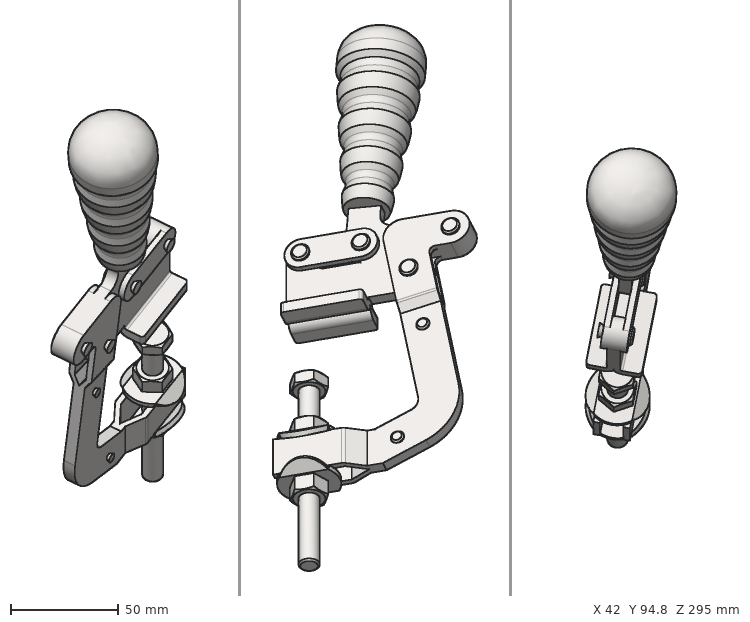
import cadquery as cq
import math


lever_thickness = 6.2
lever_half = lever_thickness / 2
sheet = lever_half
fork_half = lever_half + sheet

link_pin_z = 174.5
plate_pin = (2.5, link_pin_z)
lever_pin = (-27.0, link_pin_z)
rear_pin = (-70.8, 175.0)
plate_pivot = (-50.5, 155.5)
arm_rivets = [(-56.3, 124.5), (-44.0, 62.5)]

arm_width = 20.0
lobe_radius = 9.0
arm_top = rear_pin[1] + lobe_radius
lobe_bottom = rear_pin[1] - lobe_radius
leg_lean = math.radians(10)
leg_ref = (-43.6, 141.5)
jaw_bottom = 49.3
jaw_top = jaw_bottom + arm_width
jaw_end = 15.0
elbow_y = -32.7
elbow_slope = math.radians(23)
inner_elbow_radius = 6.0
outer_elbow_radius = 26.5
lobe_root_radius = 3.0
joggle_center = (-54.5, 136.8)
joggle_length = 5.3
splay_start = -29.2
splay_end = -19.2
splay_bend_radius = 3.5
joggle_bend_radius = 2.5
jaw_inner_half = 5.5
split_z = 88.5

link_radius = 8.0
plate_top = lobe_bottom
plate_bottom = 145.0
plate_notch_radius = 2.5
foot_bottom = 137.5
foot_thickness = 5.5
foot_half_width = 13.3
foot_back = -29.8
foot_corner = 1.8
foot_root_radius = 1.2
foot_groove_radius = 5.0

grip_base = (-28.0, 196.7)
grip_lean_degrees = 5
grip_lean = math.radians(grip_lean_degrees)
grip_length = 98.5
neck_half_width = 8.0
neck_top = 203.5
neck_root_radius = 6.2
knob_radius = 21.0
dome_height = 15.3
dome_shoulder = (16.2, 93.5)
knob_bottom = 77.0
ring_count = 4
ring_crest_height = 65.5
ring_crest_radius = 19.5
ring_pitch = 19.5
ring_radius_step = 2.5
ring_band = 8.0
ring_taper = 1.33
ring_bulge = 0.3
groove_top = (-1.0, 8.5)
groove_middle = (-1.33, 6.5)
groove_bottom = (-1.2, 4.5)

bolt_radius = 5.0
bolt_end_chamfer = 1.0
hex_flats = 16.2
hex_corner_trim = 1.8
hex_corner_drop = 1.0
bolt_head_bottom = 99.5
bolt_head_height = 6.8
nut_height = 8.3
washer_radius = jaw_end
washer_thickness = 2.7
wing_bend = 9.0
wing_angle = math.radians(40)

pivot_head = (4.5, 1.8, 2.5, 3.5, 2.5)
rivet_head = (3.2, 1.2, 1.8, 2.5, 1.8)
head_chamfer = 1.0

coincident = 0.003


def corner_points(before, corner, after, radius):
    """Start, middle and end of the arc that rounds a corner."""
    to_before = math.atan2(before[1] - corner[1], before[0] - corner[0])
    to_after = math.atan2(after[1] - corner[1], after[0] - corner[0])
    half = abs(math.remainder(to_after - to_before, math.tau)) / 2
    middle = to_before + math.remainder(to_after - to_before, math.tau) / 2

    def along(angle, distance):
        return (corner[0] + distance * math.cos(angle), corner[1] + distance * math.sin(angle))

    tangent = radius / math.tan(half)
    arc_distance = radius / math.sin(half) - radius
    return along(to_before, tangent), along(middle, arc_distance), along(to_after, tangent)


def rounded_plate(corners, half_thickness):
    """Plate centred on X = 0 from (Y, Z, corner radius) points."""
    outline = cq.Workplane("YZ")
    current = None
    for i, (y, z, radius) in enumerate(corners):
        start, middle, end = (y, z), None, (y, z)
        if radius > 0:
            following = corners[(i + 1) % len(corners)]
            start, middle, end = corner_points(corners[i - 1], (y, z), following, radius)
        if current is None:
            outline = outline.moveTo(*start)
        elif math.dist(current, start) > coincident:
            outline = outline.lineTo(*start)
        if middle is not None:
            outline = outline.threePointArc(middle, end)
        current = end
    return outline.close().extrude(half_thickness, both=True)


def leg_front(z):
    """Y of the leg's front edge at height z."""
    return leg_ref[0] + (z - leg_ref[1]) * math.tan(leg_lean)


def leg_back(z):
    """Y of the leg's back edge at height z."""
    return leg_front(z) - arm_width / math.cos(leg_lean)


def elbow_corner(start, leg_at):
    """Where the sloped stretch rising from start meets one edge of the leg."""
    slope = math.tan(elbow_slope)
    lean = math.tan(leg_lean)
    leg_y = leg_at(start[1])
    run = (start[0] - leg_y) / (1 + slope * lean)
    return (start[0] - run, start[1] + run * slope)


def make_arm():
    """Two mirrored sheets: a fork at the top, touching along the leg, splayed around the bolt."""
    inner_start = (elbow_y, jaw_top)
    outer_start = (elbow_y - arm_width * math.tan(elbow_slope / 2), jaw_bottom)
    inner_elbow = elbow_corner(inner_start, leg_front)
    outer_elbow = elbow_corner(outer_start, leg_back)
    lobe_end = rear_pin[0] - lobe_radius
    outline = rounded_plate([
        (jaw_end, jaw_top, 0),
        (*inner_start, 0),
        (*inner_elbow, inner_elbow_radius),
        (leg_front(arm_top), arm_top, lobe_radius),
        (lobe_end, arm_top, lobe_radius),
        (lobe_end, lobe_bottom, lobe_radius),
        (leg_back(lobe_bottom), lobe_bottom, lobe_root_radius),
        (*outer_elbow, outer_elbow_radius),
        (*outer_start, 0),
        (jaw_end, jaw_bottom, 0),
    ], 2 * fork_half)

    reach = arm_top
    bend = joggle_length / 2
    leg_sheet = (
        cq.Workplane("XZ")
        .polyline([(0, -reach), (sheet, -reach), (sheet, -bend), (fork_half, bend),
                   (fork_half, reach), (lever_half, reach), (lever_half, bend), (0, -bend)])
        .close()
        .extrude(reach, both=True)
        .edges(cq.selectors.NearestToPointSelector((fork_half, 0, bend)))
        .fillet(joggle_bend_radius)
        .rotate((0, 0, 0), (1, 0, 0), -math.degrees(leg_lean))
        .translate((0, *joggle_center))
    )
    jaw_outer_half = jaw_inner_half + sheet
    jaw_sheet = (
        cq.Workplane("XY")
        .polyline([(0, -reach), (sheet, -reach), (sheet, splay_start), (jaw_outer_half, splay_end),
                   (jaw_outer_half, jaw_end), (jaw_inner_half, jaw_end), (jaw_inner_half, splay_end),
                   (0, splay_start)])
        .close()
        .extrude(split_z)
        .edges(cq.selectors.NearestToPointSelector((jaw_outer_half, splay_end, split_z / 2)))
        .fillet(splay_bend_radius)
    )
    above = cq.Workplane("XY").workplane(offset=split_z).rect(2 * reach, 2 * reach).extrude(reach)
    half = outline.intersect(leg_sheet).intersect(above).union(outline.intersect(jaw_sheet))
    return half.union(half.mirror("YZ"))


def make_clamp_plate():
    """Plate hung between links and fork, with a flat foot along its lower edge."""
    front = plate_pin[0] + link_radius
    lobe_back = plate_pin[0] - link_radius
    lobe_top = link_pin_z + link_radius
    pivot_round = (plate_top - plate_bottom) / 2
    pivot_end = plate_pivot[0] - pivot_round
    plate = rounded_plate([
        (front, foot_bottom, 0),
        (front, lobe_top, link_radius),
        (lobe_back, lobe_top, link_radius),
        (lobe_back, plate_top, plate_notch_radius),
        (pivot_end, plate_top, pivot_round),
        (pivot_end, plate_bottom, pivot_round),
        (foot_back, plate_bottom, 0),
        (foot_back, foot_bottom, 0),
    ], lever_half)
    foot = (
        cq.Workplane("XY")
        .box(2 * foot_half_width, front - foot_back, foot_thickness, centered=(True, False, False))
        .translate((0, foot_back, foot_bottom))
        .edges("|Z")
        .fillet(foot_corner)
    )
    foot_top = foot_bottom + foot_thickness
    length = front - foot_back
    root_half = lever_half + foot_root_radius
    root = (
        cq.Workplane("XZ", origin=(0, front, foot_top))
        .moveTo(-root_half, 0)
        .radiusArc((-lever_half, foot_root_radius), -foot_root_radius)
        .lineTo(lever_half, foot_root_radius)
        .radiusArc((root_half, 0), -foot_root_radius)
        .close()
        .extrude(length)
    )
    groove = (
        cq.Workplane("XZ", origin=(0, front, foot_bottom))
        .moveTo(-foot_groove_radius, 0)
        .radiusArc((0, foot_groove_radius), -foot_groove_radius)
        .radiusArc((foot_groove_radius, 0), -foot_groove_radius)
        .close()
        .extrude(length)
    )
    return plate.union(foot).union(root).cut(groove)


def make_links():
    """Pair of round-ended links either side of the plate and the lever."""
    front = plate_pin[0] + link_radius
    back = lever_pin[0] - link_radius
    low = link_pin_z - link_radius
    high = link_pin_z + link_radius
    corners = [(front, low), (front, high), (back, high), (back, low)]
    rounded = [(y, z, link_radius) for y, z in corners]
    return rounded_plate(rounded, fork_half).cut(rounded_plate(rounded, lever_half))


def make_lever():
    """Flat lever: neck leaning with the grip, tail sharing the arm's rear lobe."""
    def axis_y(z):
        """Y of the grip axis at height z."""
        return grip_base[0] - (z - grip_base[1]) * math.tan(grip_lean)

    lobe_end = rear_pin[0] - lobe_radius
    return rounded_plate([
        (axis_y(neck_top) + neck_half_width, neck_top, 0),
        (axis_y(lobe_bottom) + neck_half_width, lobe_bottom, link_radius),
        (lobe_end, lobe_bottom, lobe_radius),
        (lobe_end, arm_top, lobe_radius),
        (axis_y(arm_top) - neck_half_width, arm_top, neck_root_radius),
        (axis_y(neck_top) - neck_half_width, neck_top, 0),
    ], lever_half)


def make_grip():
    """Turned grip: domed knob above rings that shrink toward the base."""
    profile = (
        cq.Workplane("XZ")
        .moveTo(0, grip_length)
        .spline([dome_shoulder, (knob_radius, grip_length - dome_height)],
                tangents=[(1, 0), (0, -1)], includeCurrent=True)
        .lineTo(knob_radius, knob_bottom)
    )
    for i in range(ring_count):
        crest = ring_crest_radius - i * ring_radius_step
        height = ring_crest_height - i * ring_pitch
        band_bottom = max(height - ring_band, 0)
        groove = [(crest + dr, height + dh) for dr, dh in (groove_top, groove_middle, groove_bottom)]
        profile = (
            profile
            .lineTo(*groove[0])
            .threePointArc(groove[1], groove[2])
            .lineTo(crest, height)
            .threePointArc((crest - ring_taper / 2 + ring_bulge, (height + band_bottom) / 2),
                           (crest - ring_taper, band_bottom))
        )
    grip = profile.lineTo(0, 0).close().revolve(360, (0, 0, 0), (0, 1, 0))
    return grip.rotate((0, 0, 0), (1, 0, 0), grip_lean_degrees).translate((0, *grip_base))


def make_hex(bottom, height, low_end_turned, high_end_turned):
    """Hexagon with corners on the Y axis, the corners turned off at the chosen ends."""
    corner_radius = hex_flats / 2 / math.cos(math.pi / 6)
    low = 0 if low_end_turned else -hex_corner_drop
    high = height if high_end_turned else height + hex_corner_drop
    end_radius = corner_radius - hex_corner_trim
    prism = cq.Workplane("XY").polygon(6, 2 * corner_radius).extrude(height).rotate((0, 0, 0), (0, 0, 1), 90)
    turned = (
        cq.Workplane("XZ")
        .polyline([(0, low), (end_radius, low), (corner_radius, low + hex_corner_drop),
                   (corner_radius, high - hex_corner_drop), (end_radius, high), (0, high)])
        .close()
        .revolve(360, (0, 0, 0), (0, 1, 0))
    )
    return prism.intersect(turned).translate((0, 0, bottom))


def make_wing_washer():
    """Washer lying on Z = 0 with two sides bent down, its rim round when seen along Z."""
    bend_low = wing_bend - washer_thickness * math.tan(wing_angle / 2)
    slope = math.tan(wing_angle)
    flat = (
        cq.Workplane("XZ")
        .polyline([(-wing_bend, washer_thickness), (wing_bend, washer_thickness),
                   (bend_low, 0), (-bend_low, 0)])
        .close()
        .extrude(washer_radius, both=True)
        .intersect(cq.Workplane("XY").circle(washer_radius).extrude(washer_thickness))
    )
    wing_end = 2 * washer_radius
    thickness_drop = washer_thickness / math.cos(wing_angle)
    end_z = washer_thickness - (wing_end - wing_bend) * slope
    rim = (
        cq.Workplane("XY")
        .ellipse(washer_radius / math.cos(wing_angle), washer_radius)
        .extrude(wing_end, both=True)
        .rotate((0, 0, 0), (0, 1, 0), math.degrees(wing_angle))
        .translate((0, 0, washer_thickness + wing_bend * slope))
    )
    wing = (
        cq.Workplane("XZ")
        .polyline([(wing_bend, washer_thickness), (wing_end, end_z), (wing_end, end_z - thickness_drop),
                   (bend_low, 0)])
        .close()
        .extrude(washer_radius, both=True)
        .intersect(rim)
    )
    return flat.union(wing).union(wing.mirror("YZ"))


def make_bolt():
    """Hex bolt with two nuts clamping the wing washers onto the jaw."""
    shank = cq.Workplane("XY").circle(bolt_radius).extrude(bolt_head_bottom)
    shank = shank.faces("<Z").chamfer(bolt_end_chamfer)
    washer = make_wing_washer()
    upper_nut_bottom = jaw_top + washer_thickness
    lower_nut_bottom = jaw_bottom - washer_thickness - nut_height
    return (
        shank
        .union(make_hex(bolt_head_bottom, bolt_head_height, True, True))
        .union(make_hex(upper_nut_bottom, nut_height, False, True))
        .union(make_hex(lower_nut_bottom, nut_height, True, False))
        .union(washer.translate((0, 0, jaw_top)))
        .union(washer.mirror("XY").translate((0, 0, jaw_bottom)))
    )


def make_pin(position, stack_half, head):
    """Pin along X with a chamfered head on the -X side and a flared end on the +X side."""
    head_radius, head_height, shank_radius, flare_radius, flare_height = head
    head_end = -stack_half - head_height
    profile = [
        (head_end, 0),
        (head_end, head_radius - head_chamfer),
        (head_end + head_chamfer, head_radius),
        (-stack_half, head_radius),
        (-stack_half, shank_radius),
        (stack_half, shank_radius),
        (stack_half + flare_height, flare_radius),
        (stack_half + flare_height, 0),
    ]
    pin = cq.Workplane("XY").polyline(profile).close().revolve(360, (0, 0, 0), (1, 0, 0))
    return pin.translate((0, *position))


result = make_arm()
for component in [make_clamp_plate(), make_links(), make_lever(), make_grip(), make_bolt()]:
    result = result.union(component)
for pivot in [plate_pin, lever_pin, rear_pin, plate_pivot]:
    result = result.union(make_pin(pivot, fork_half, pivot_head))
for rivet in arm_rivets:
    result = result.union(make_pin(rivet, sheet, rivet_head))